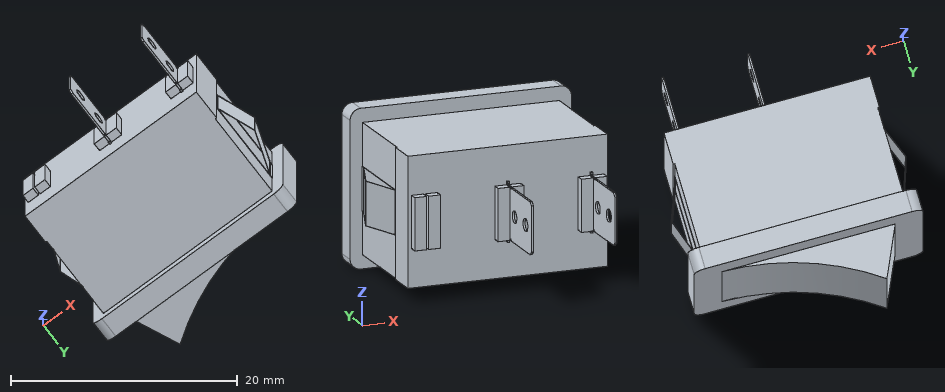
import cadquery as cq


FLANGE_WIDTH = 21.0
FLANGE_HEIGHT = 14.81
FLANGE_THICKNESS = 2.03
FLANGE_CORNER_RADIUS = 1.0

BODY_WIDTH = 18.95
BODY_HEIGHT = 12.18
BODY_DEPTH = 11.3
RECESS_LENGTH = 8.3
RECESS_DEPTH = 0.15

CLIP_SPAN = 21.55
CLIP_HEIGHT = 4.12
CLIP_SHEET = 0.035
CLIP_BEND_START = 0.3
CLIP_TIP_DISTANCE = 4.43
CLIP_BEND_END = 8.06

BLOCK_PITCH = 7.9
BLOCK_WIDTH = 1.12
BLOCK_HEIGHT = 4.9
BLOCK_LENGTH = 0.8
SLOT_WIDTH = 0.2

TERMINAL_LENGTH = 5.98
TERMINAL_HEIGHT = 4.85
TERMINAL_CHAMFER = 0.3
HOLES = [(1.9, 1.1), (4.52, 1.15)]
EAR_SPAN = 5.58
EAR_LENGTH = 0.25
EAR_BEVEL = 0.1
NOTCH_WIDTH = 0.17
NOTCH_DEPTH = 0.15

ROCKER_HEIGHT = 9.76
ROCKER_HALF_WIDTH = 7.95
ROCKER_TIP_X = -5.86
ROCKER_TIP_RISE = 4.62
ROCKER_MID_X = 0.65
ROCKER_MID_RISE = 1.25

BODY_END_Y = -BODY_DEPTH
RECESS_FLOOR_X = BODY_WIDTH / 2 - RECESS_DEPTH


def box(width, depth, height, x, back_y):
    """Box centred on x and on Z = 0 that grows toward -Y from back_y."""
    return cq.Workplane("XY").box(width, depth, height).translate((x, back_y - depth / 2, 0))


def make_flange():
    flange = box(FLANGE_WIDTH, FLANGE_THICKNESS, FLANGE_HEIGHT, 0, FLANGE_THICKNESS)
    return flange.edges("|Y").fillet(FLANGE_CORNER_RADIUS)


def make_body():
    front = box(2 * RECESS_FLOOR_X, RECESS_LENGTH, BODY_HEIGHT, 0, 0)
    rear = box(BODY_WIDTH, BODY_DEPTH - RECESS_LENGTH, BODY_HEIGHT, 0, -RECESS_LENGTH)
    return front.union(rear)


def make_right_clip():
    """Flat back plate with a thin strip bent out into a point."""
    plate_x = RECESS_FLOOR_X + CLIP_SHEET
    tip_x = CLIP_SPAN / 2
    plate = box(CLIP_SHEET, RECESS_LENGTH, CLIP_HEIGHT, RECESS_FLOOR_X + CLIP_SHEET / 2, 0)
    strip = (
        cq.Workplane("XY")
        .moveTo(plate_x, -CLIP_BEND_START)
        .lineTo(tip_x, -CLIP_TIP_DISTANCE)
        .lineTo(plate_x, -CLIP_BEND_END)
        .lineTo(plate_x - CLIP_SHEET, -CLIP_BEND_END)
        .lineTo(tip_x - CLIP_SHEET, -CLIP_TIP_DISTANCE)
        .lineTo(plate_x - CLIP_SHEET, -CLIP_BEND_START)
        .close()
        .extrude(CLIP_HEIGHT / 2, both=True)
    )
    return plate.union(strip)


def make_block_pair(x):
    offset = (SLOT_WIDTH + BLOCK_WIDTH) / 2
    left = box(BLOCK_WIDTH, BLOCK_LENGTH, BLOCK_HEIGHT, x - offset, BODY_END_Y)
    right = box(BLOCK_WIDTH, BLOCK_LENGTH, BLOCK_HEIGHT, x + offset, BODY_END_Y)
    return left.union(right)


def extrude_terminal_profile(sketch):
    return sketch.extrude(SLOT_WIDTH / 2, both=True)


def make_upper_ear():
    base_z = TERMINAL_HEIGHT / 2
    top_z = EAR_SPAN / 2
    return extrude_terminal_profile(
        cq.Workplane("YZ")
        .moveTo(0, 0)
        .lineTo(0, top_z)
        .lineTo(-EAR_LENGTH, top_z)
        .lineTo(-EAR_LENGTH, base_z + 2 * EAR_BEVEL)
        .lineTo(-EAR_LENGTH + EAR_BEVEL, base_z + EAR_BEVEL)
        .lineTo(-EAR_LENGTH + EAR_BEVEL, 0)
        .close()
    )


def make_upper_notch():
    """V-shaped nick in the terminal edge, just past the guide blocks."""
    edge_z = TERMINAL_HEIGHT / 2
    return extrude_terminal_profile(
        cq.Workplane("YZ")
        .moveTo(-BLOCK_LENGTH, edge_z)
        .lineTo(-BLOCK_LENGTH - NOTCH_WIDTH, edge_z)
        .lineTo(-BLOCK_LENGTH - NOTCH_WIDTH / 2, edge_z - NOTCH_DEPTH)
        .close()
    )


def make_terminal(x):
    blade = box(SLOT_WIDTH, TERMINAL_LENGTH, TERMINAL_HEIGHT, 0, 0)
    blade = blade.faces("<Y").edges("|X").chamfer(TERMINAL_CHAMFER)
    for distance, diameter in HOLES:
        hole = cq.Workplane("YZ").center(-distance, 0).circle(diameter / 2)
        blade = blade.cut(extrude_terminal_profile(hole))
    ear = make_upper_ear()
    notch = make_upper_notch()
    blade = blade.union(ear).union(ear.mirror("XY"))
    blade = blade.cut(notch).cut(notch.mirror("XY"))
    return blade.translate((x, BODY_END_Y, 0))


def make_housing():
    clip = make_right_clip()
    housing = make_flange().union(make_body()).union(clip).union(clip.mirror("YZ"))
    for x in (-BLOCK_PITCH, 0, BLOCK_PITCH):
        housing = housing.union(make_block_pair(x))
    for x in (0, BLOCK_PITCH):
        housing = housing.union(make_terminal(x))
    return housing


def make_rocker():
    """Rocker resting on the flange, tipped so that its left end stands out."""
    base_y = FLANGE_THICKNESS
    return (
        cq.Workplane("XY")
        .moveTo(-ROCKER_HALF_WIDTH, base_y)
        .lineTo(ROCKER_TIP_X, base_y + ROCKER_TIP_RISE)
        .threePointArc((ROCKER_MID_X, base_y + ROCKER_MID_RISE), (ROCKER_HALF_WIDTH, base_y))
        .close()
        .extrude(ROCKER_HEIGHT / 2, both=True)
    )


housing = make_housing()
rocker = make_rocker()
result = cq.Compound.makeCompound([housing.solids().val(), rocker.val()])